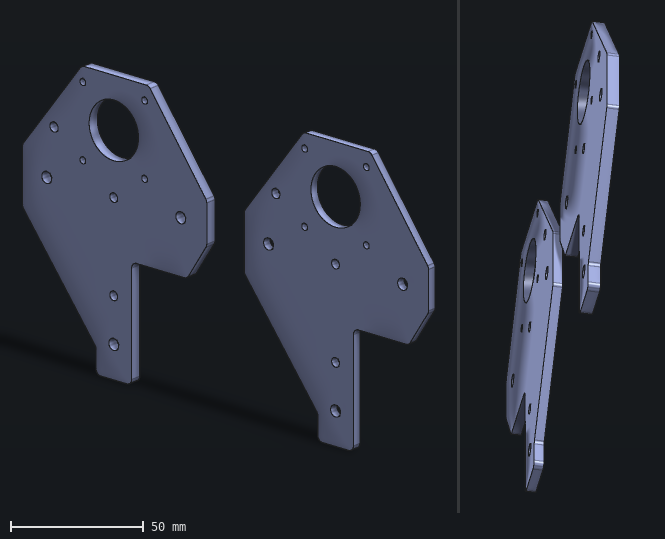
import cadquery as cq

THICK_PLATE = 4.8
THIN_PLATE = 3.8
OVERALL_LENGTH = 201.7

LEFT_X = -45.4
RIGHT_X = 46.2
TOP_Z = 49.2
BOTTOM_Z = TOP_Z - 122.6
TOP_LEFT_X = -16.0
TOP_RIGHT_X = 17.3
LEFT_UPPER_Z = 10.5
LEFT_LOWER_Z = -14.7
RIGHT_UPPER_Z = 9.9
RIGHT_LOWER_Z = -8.3
SHELF_Z = -23.8
SHELF_END_X = 36.3
TAIL_HALF_WIDTH = 8.9
TAIL_SHOULDER_Z = -62.3
CORNER_RADIUS = 2.5

MOTOR_Z = 27.0
MOTOR_BORE_DIAMETER = 24.5
MOTOR_SCREW_PITCH_X = 30.7
MOTOR_SCREW_PITCH_Z = 31.5
MOTOR_SCREW_DIAMETER = 2.8
MOUNT_HOLE_DIAMETER = 4.8
MOUNT_HOLE_X = 33.3
TAIL_MOUNT_Z = -59.0
PIVOT_HOLE_DIAMETER = 3.8
TAIL_PIVOT_Z = -39.5
EDGE_HOLE_DIAMETER = 4.0
EDGE_HOLE_X = -29.6
EDGE_HOLE_Z = 21.2

PLATE_PITCH = OVERALL_LENGTH - (RIGHT_X - LEFT_X)
FRONT_Y = -THICK_PLATE / 2


def plate_blank(thickness):
    """Rounded outline, extruded from the front face toward +Y."""
    outline = [
        (TOP_LEFT_X, TOP_Z),
        (TOP_RIGHT_X, TOP_Z),
        (RIGHT_X, RIGHT_UPPER_Z),
        (RIGHT_X, RIGHT_LOWER_Z),
        (SHELF_END_X, SHELF_Z),
        (TAIL_HALF_WIDTH, SHELF_Z),
        (TAIL_HALF_WIDTH, BOTTOM_Z),
        (-TAIL_HALF_WIDTH, BOTTOM_Z),
        (-TAIL_HALF_WIDTH, TAIL_SHOULDER_Z),
        (LEFT_X, LEFT_LOWER_Z),
        (LEFT_X, LEFT_UPPER_Z),
    ]
    blank = cq.Workplane("XZ").polyline(outline).close().extrude(-thickness)
    return blank.edges("|Y").fillet(CORNER_RADIUS)


def hole_cutters(diameter, centers, depth):
    return cq.Workplane("XZ").pushPoints(centers).circle(diameter / 2).extrude(-depth)


def make_plate(thickness):
    """Motor plate with all its through holes."""
    motor_screws = [
        (side * MOTOR_SCREW_PITCH_X / 2, MOTOR_Z + level * MOTOR_SCREW_PITCH_Z / 2)
        for side in (-1, 1)
        for level in (-1, 1)
    ]
    mount_holes = [(-MOUNT_HOLE_X, 0), (MOUNT_HOLE_X, 0), (0, TAIL_MOUNT_Z)]
    hole_groups = [
        (MOTOR_BORE_DIAMETER, [(0, MOTOR_Z)]),
        (MOTOR_SCREW_DIAMETER, motor_screws),
        (MOUNT_HOLE_DIAMETER, mount_holes),
        (PIVOT_HOLE_DIAMETER, [(0, 0), (0, TAIL_PIVOT_Z)]),
        (EDGE_HOLE_DIAMETER, [(EDGE_HOLE_X, EDGE_HOLE_Z)]),
    ]
    plate = plate_blank(thickness)
    for diameter, centers in hole_groups:
        plate = plate.cut(hole_cutters(diameter, centers, thickness))
    return plate


thick_plate = make_plate(THICK_PLATE).translate((-PLATE_PITCH / 2, FRONT_Y, 0))
thin_plate = make_plate(THIN_PLATE).translate((PLATE_PITCH / 2, FRONT_Y, 0))

result = cq.Compound.makeCompound([thick_plate.val(), thin_plate.val()])